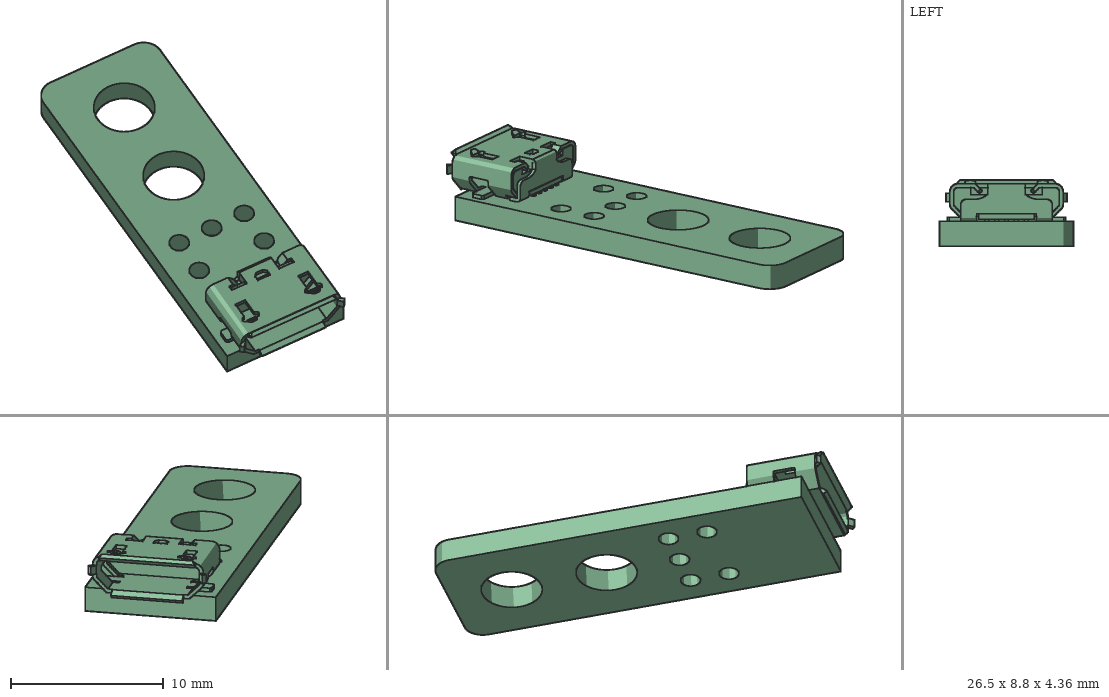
import cadquery as cq
import math

board_length = 25.4
board_width = 8.8
board_thickness = 1.65
board_corner_radius = 1.25
large_hole_diameter = 4.0
large_hole_xs = (4.2, 10.7)
small_hole_diameter = 1.3
small_hole_column_xs = (15.7, 18.33)
small_hole_row_y = 2.45

sheet = 0.26
shell_rear_x = 21.43
shell_front_x = 26.12
shell_length = shell_front_x - shell_rear_x
shell_half_width = 3.72
shell_height = 2.46
top_corner_radius = 0.55
lower_bend_radius = 0.42
lower_bend_top_z = 1.1
through_all = 20.0

overall_length = 26.53
lip_reach = overall_length - shell_front_x
lip_rise = 0.25
lip_tip_x = 0.2
lip_root_x = 0.08
lip_end_rise = 0.04
top_lip_half_width = 3.23
top_lip_bevel = 0.2
bottom_lip_half_width = 2.4
side_lip_bottom_z = 1.26
side_lip_top_z = 1.84

leg_center_x = 24.0
window_length = 1.48
window_top_z = 1.33
window_corner_radius = 0.12
window_inner_y = 2.27
leg_length = 0.9
leg_reach_y = 3.88
leg_tip_chamfer = 0.12

slot_rear_x = 23.6
slot_front_x = 25.13
slot_center_y = 2.37
slot_width = 0.73
relief_x = 24.98
relief_radius = 0.2
relief_offset_y = 0.42
latch_tip_x = 25.48
latch_rise = 0.24

opening_inner_y = 1.22
opening_outer_y = 2.34
opening_front_x = 22.46
hook_front_x = 22.1
hook_tip_y = 1.58
hook_tip_z = 1.8
hook_corner_chamfer = 0.16
recess_floor_z = 1.73
center_opening_rear_x = 22.0
center_opening_front_x = 22.6
center_opening_half_width = 0.46
center_opening_chamfer = 0.2
center_groove_radius = 0.15

plate_rear_x = 21.19
plate_bend_radius = 0.3
plate_half_width = 3.0
plate_shoulder_z = 1.44
plate_shoulder_radius = 0.39
plate_flare_y = 1.95
plate_flare_middle = (1.55, 1.55)
plate_neck_z = 1.78
foot_front_x = 22.03
foot_gap_front_x = 22.25
foot_gap_height = 0.32
notch_half_width = 1.95
notch_height = 0.47

insulator_setback = 0.05
insulator_rear_x = shell_rear_x + insulator_setback
insulator_front_x = 22.9
insulator_foot_rear_x = plate_rear_x + insulator_setback
insulator_foot_half_width = 1.83
pin_count = 5
pin_pitch = 0.65
pin_width = 0.26
pin_height = 0.13


def box(x_range, y_range, z_range):
    """Block between pairs of X, Y and Z limits."""
    size = [high - low for low, high in (x_range, y_range, z_range)]
    corner = (x_range[0], y_range[0], z_range[0])
    return cq.Workplane("XY").box(*size, centered=False).translate(corner)


def both_sides(half):
    """A feature together with its mirror image across the XZ plane."""
    return half.union(half.mirror("XZ"))


def make_board():
    board = box(
        (0, board_length),
        (-board_width / 2, board_width / 2),
        (-board_thickness, 0),
    )
    board = board.edges("|Z and <X").fillet(board_corner_radius)
    large_centers = [(x, 0) for x in large_hole_xs]
    small_centers = [(x, side * small_hole_row_y) for x in small_hole_column_xs for side in (-1, 1)]
    small_centers.append((small_hole_column_xs[0], 0))
    for centers, diameter in ((large_centers, large_hole_diameter), (small_centers, small_hole_diameter)):
        board = board.faces(">Z").workplane(origin=(0, 0, 0)).pushPoints(centers).hole(diameter)
    return board


def tube_section(inset, start_x, length):
    """Shell section moved inward by `inset` and extruded along +X."""
    half_width = shell_half_width - inset
    top = shell_height - inset
    corner = top_corner_radius - inset
    bend = lower_bend_radius - inset
    cos45 = math.sqrt(0.5)
    bend_end_y = half_width - bend * (1 - cos45)
    bend_end_z = lower_bend_top_z - bend * cos45
    bend_mid_y = half_width - bend * (1 - math.cos(math.pi / 8))
    bend_mid_z = lower_bend_top_z - bend * math.sin(math.pi / 8)
    floor_y = bend_end_y - (bend_end_z - inset)
    corner_mid_y = half_width - corner * (1 - cos45)
    corner_mid_z = top - corner * (1 - cos45)
    return (
        cq.Workplane("YZ", origin=(start_x, 0, 0))
        .moveTo(-floor_y, inset)
        .lineTo(floor_y, inset)
        .lineTo(bend_end_y, bend_end_z)
        .threePointArc((bend_mid_y, bend_mid_z), (half_width, lower_bend_top_z))
        .lineTo(half_width, top - corner)
        .threePointArc((corner_mid_y, corner_mid_z), (half_width - corner, top))
        .lineTo(-half_width + corner, top)
        .threePointArc((-corner_mid_y, corner_mid_z), (-half_width, top - corner))
        .lineTo(-half_width, lower_bend_top_z)
        .threePointArc((-bend_mid_y, bend_mid_z), (-bend_end_y, bend_end_z))
        .close()
        .extrude(length)
    )


def lip_outline(skin, outward):
    """Profile of a flared lip starting at the outer skin and opening outward (+1 or -1)."""
    return [
        (shell_front_x, skin - outward * sheet),
        (shell_front_x + lip_root_x, skin - outward * sheet),
        (shell_front_x + lip_reach, skin + outward * lip_end_rise),
        (shell_front_x + lip_tip_x, skin + outward * lip_rise),
        (shell_front_x, skin),
    ]


def make_lips():
    top = (
        cq.Workplane("XZ")
        .polyline(lip_outline(shell_height, 1))
        .close()
        .extrude(top_lip_half_width, both=True)
    )
    bottom = (
        cq.Workplane("XZ")
        .polyline(lip_outline(0, -1))
        .close()
        .extrude(bottom_lip_half_width, both=True)
    )
    side = (
        cq.Workplane("XY", origin=(0, 0, side_lip_bottom_z))
        .polyline(lip_outline(shell_half_width, 1))
        .close()
        .extrude(side_lip_top_z - side_lip_bottom_z)
    )
    lip_top = shell_height + lip_rise
    bevelled_ends = box(
        (shell_front_x, shell_front_x + lip_reach),
        (-top_lip_half_width, top_lip_half_width),
        (shell_height - sheet, lip_top),
    )
    bevelled_ends = bevelled_ends.edges("|X and >Z").chamfer(top_lip_bevel)
    top = top.intersect(bevelled_ends)
    return top.union(bottom).union(both_sides(side))


def window_cutter():
    """Side window that also clears the slope and floor around a solder leg."""
    window = box(
        (leg_center_x - window_length / 2, leg_center_x + window_length / 2),
        (window_inner_y, shell_half_width + sheet),
        (-sheet, window_top_z),
    )
    window = window.edges("|Y and >Z").fillet(window_corner_radius)
    return both_sides(window.edges("|Z and <Y").fillet(window_corner_radius))


def make_legs():
    leg = box(
        (leg_center_x - leg_length / 2, leg_center_x + leg_length / 2),
        (window_inner_y - sheet, leg_reach_y),
        (0, sheet),
    )
    return both_sides(leg.edges("|Z and >Y").chamfer(leg_tip_chamfer))


def latch_slot_cutter():
    slot = box(
        (slot_rear_x, slot_front_x),
        (slot_center_y - slot_width / 2, slot_center_y + slot_width / 2),
        (shell_height - sheet, shell_height),
    )
    reliefs = (
        cq.Workplane("XY", origin=(0, 0, shell_height - sheet))
        .pushPoints([(relief_x, slot_center_y + side * relief_offset_y) for side in (-1, 1)])
        .circle(relief_radius)
        .extrude(sheet)
    )
    return both_sides(slot.union(reliefs))


def make_latch_tips():
    """Tongues that rise out of the front ends of the slots, with rounded ends."""
    underside = shell_height - sheet
    half_width = slot_width / 2
    sloped = (
        cq.Workplane("XZ", origin=(0, slot_center_y + half_width, 0))
        .moveTo(slot_front_x, underside)
        .lineTo(slot_front_x, shell_height)
        .lineTo(latch_tip_x - latch_rise / 4, shell_height + latch_rise)
        .lineTo(latch_tip_x, shell_height + latch_rise / 2)
        .lineTo(slot_front_x + sheet / 2, underside)
        .close()
        .extrude(slot_width)
    )
    rounded_plan = (
        cq.Workplane("XY", origin=(latch_tip_x - half_width, slot_center_y, 0))
        .circle(half_width)
        .extrude(through_all)
    )
    return both_sides(sloped.intersect(rounded_plan))


def rear_opening_cutter(front_x, floor_z):
    opening = box(
        (plate_rear_x - sheet, front_x),
        (opening_inner_y, opening_outer_y),
        (floor_z, shell_height),
    )
    return both_sides(opening)


def make_hooks():
    """Tabs folded 45 degrees down and inward from the outer edges of the rear openings."""
    underside = shell_height - sheet
    thickness_step = sheet * math.sqrt(0.5)
    root_y = hook_tip_y + shell_height - hook_tip_z - thickness_step
    hook = (
        cq.Workplane("YZ", origin=(shell_rear_x, 0, 0))
        .moveTo(opening_outer_y, shell_height)
        .lineTo(root_y, shell_height)
        .lineTo(hook_tip_y, hook_tip_z + thickness_step)
        .lineTo(hook_tip_y + thickness_step, hook_tip_z)
        .lineTo(hook_tip_y + thickness_step + underside - hook_tip_z, underside)
        .lineTo(opening_outer_y, underside)
        .close()
        .extrude(hook_front_x - shell_rear_x)
    )
    tip_center_y = hook_tip_y + thickness_step / 2
    tip_center_z = hook_tip_z + thickness_step / 2
    rear_tip_corner = cq.NearestToPointSelector((shell_rear_x, tip_center_y, tip_center_z))
    return both_sides(hook.edges(rear_tip_corner).chamfer(hook_corner_chamfer))


def center_opening_cutter():
    opening = box(
        (center_opening_rear_x, center_opening_front_x),
        (-center_opening_half_width, center_opening_half_width),
        (shell_height - sheet, shell_height),
    )
    opening = opening.edges("|Z and <X").chamfer(center_opening_chamfer)
    groove_x = center_opening_front_x - center_groove_radius
    groove = (
        cq.Workplane("XZ", origin=(groove_x, center_opening_half_width, shell_height - sheet))
        .circle(center_groove_radius)
        .extrude(2 * center_opening_half_width)
    )
    return opening.union(groove)


def foot_gap_cutter():
    """Space under the rear of the shell that clears the plate foot."""
    return box(
        (shell_rear_x, foot_gap_front_x),
        (-shell_half_width, shell_half_width),
        (0, foot_gap_height),
    )


def make_insulator():
    body = tube_section(sheet, insulator_rear_x, insulator_front_x - insulator_rear_x)
    body = body.cut(foot_gap_cutter()).cut(rear_opening_cutter(hook_front_x, recess_floor_z))
    foot = box(
        (insulator_foot_rear_x, foot_front_x),
        (-insulator_foot_half_width, insulator_foot_half_width),
        (pin_height, notch_height),
    )
    body = body.union(foot)
    for index in range(pin_count):
        pin_y = (index - (pin_count - 1) / 2) * pin_pitch
        pin = box(
            (plate_rear_x, foot_front_x),
            (pin_y - pin_width / 2, pin_y + pin_width / 2),
            (0, pin_height),
        )
        body = body.union(pin)
    return body


def make_rear_plate():
    """Cover plate bent down from the shell top and bent forward again into a foot."""
    bent_strip = box(
        (plate_rear_x, foot_front_x),
        (-plate_half_width, plate_half_width),
        (0, shell_height),
    )
    bent_strip = bent_strip.edges("|Y and <X").fillet(plate_bend_radius)
    inside = box(
        (plate_rear_x + sheet, foot_front_x),
        (-plate_half_width, plate_half_width),
        (sheet, shell_height),
    )
    shoulder_inset = plate_shoulder_radius * (1 - math.sqrt(0.5))
    outline = (
        cq.Workplane("YZ", origin=(plate_rear_x, 0, 0))
        .moveTo(0, 0)
        .lineTo(plate_half_width, 0)
        .lineTo(plate_half_width, plate_shoulder_z - plate_shoulder_radius)
        .threePointArc(
            (plate_half_width - shoulder_inset, plate_shoulder_z - shoulder_inset),
            (plate_half_width - plate_shoulder_radius, plate_shoulder_z),
        )
        .lineTo(plate_flare_y, plate_shoulder_z)
        .threePointArc(plate_flare_middle, (opening_inner_y, plate_neck_z))
        .lineTo(opening_inner_y, shell_height)
        .lineTo(0, shell_height)
        .close()
        .extrude(foot_front_x - plate_rear_x)
    )
    notch = box(
        (plate_rear_x, foot_front_x),
        (-notch_half_width, notch_half_width),
        (0, notch_height),
    )
    return bent_strip.cut(inside).intersect(both_sides(outline)).cut(notch)


def make_connector():
    shell = tube_section(0, shell_rear_x, shell_length)
    shell = shell.cut(tube_section(sheet, shell_rear_x, shell_length))
    shell = shell.cut(foot_gap_cutter()).cut(window_cutter()).cut(latch_slot_cutter())
    shell = shell.cut(rear_opening_cutter(opening_front_x, shell_height - sheet))
    connector = shell.union(make_insulator()).cut(center_opening_cutter())
    for feature in (make_lips(), make_legs(), make_latch_tips(), make_hooks(), make_rear_plate()):
        connector = connector.union(feature)
    return connector


board = make_board()
usb_connector = make_connector()
result = cq.Compound.makeCompound([board.val(), *usb_connector.vals()])